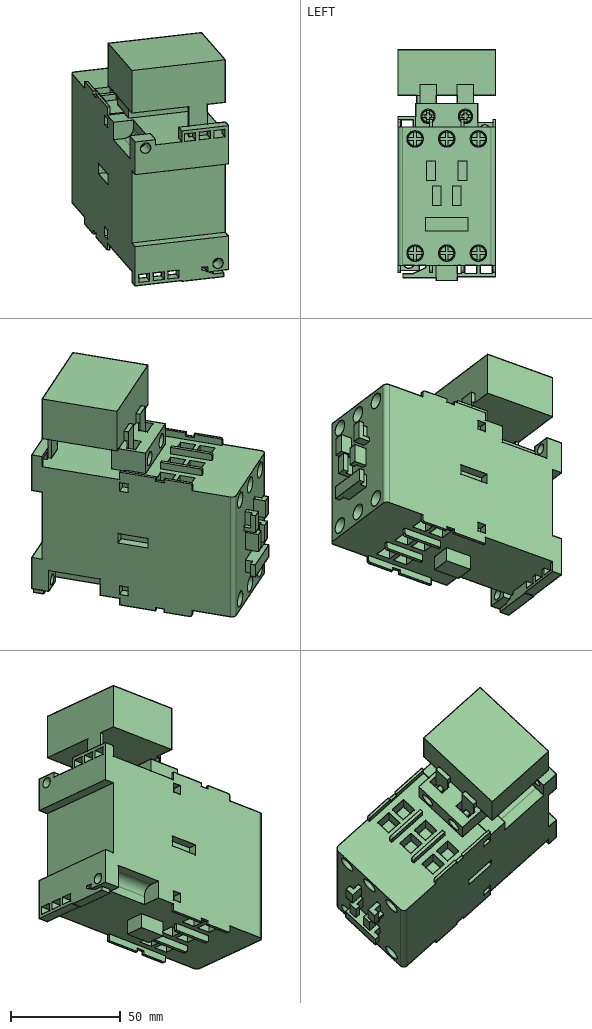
import cadquery as cq


WIDTH = 44.6
HALF_WIDTH = WIDTH / 2
BODY_HEIGHT = 63.0
REAR_HEIGHT = 62.5
REAR_STEP_X = 55.2
BODY_LENGTH = 92.4
BACK_X = 97.36
MID_Z = REAR_HEIGHT / 2
FRONT_EDGE_RADIUS = 2.1

RAIL_BOTTOM_Z = 13.9
RAIL_TOP_Z = 49.1

RIB_START_X = 20.5
RIB_END_X = 40.3
RIB_RISE = 3.4
RIB_THICKNESS = 1.5
RIB_Y = 7.2
RIB_CORNER_RADIUS = 1.2
FLANGE_THICKNESS = 1.3
FLANGE_NOTCH_X = (33.9, 38.0)
FLANGE_NOTCH_DEPTH = 1.7

POLE_PITCH = 14.4
POLES_Y = (-POLE_PITCH, 0, POLE_PITCH)
WELL_SIDE = 7.1
WELL_CENTRES_X = (26.45, 35.75)
WELL_DEPTH = 8.0
CONTACT_SCREW_INSET = 5.5
CONTACT_HOLE_DIAMETER = 7.5
CONTACT_HOLE_DEPTH = 12.0
CONTACT_HEAD_DIAMETER = 6.4
HEAD_THICKNESS = 1.0
CROSS_SLOT_WIDTH = 1.3
CROSS_SLOT_DEPTH = 0.6

SIDE_OPENING_DEPTH = 4.2
CLIP_OPENING_X = (51.1, 55.2)
CLIP_OPENING_Z = (2.1, 6.6)
CENTRE_OPENING_X = (41.7, 56.0)
CENTRE_OPENING_Z = (29.0, 34.0)

LUG_START_X = 89.2
LUG_INNER_Y = 12.5
LUG_RISE = 2.5
LUG_HOLE_DIAMETER = 4.9
LUG_HOLE_Y = 17.3
LUG_HOLE_Z = 61.4
TROUGH_START_X = 64.6
TROUGH_RADIUS = 4.5
TROUGH_AXIS_Z = 58.5

FOOT_RISE = 5.3
FOOT_BAR = 1.6
WINDOW_WIDTH = 5.25
WINDOW_PITCH = 7.0
WINDOW_COUNT = 3
OUTER_WALL = 1.7
HOOK_BOTTOM_Z = -5.7
HOOK_TIP_Y = 20.0
HOOK_TIP_TOP_Z = -3.8
HOOK_RAMP_Y = (15.4, 9.6)
HOOK_RAMP_TOP_Z = -1.1

BLOCK_X = (45.4, 61.75)
BLOCK_HALF_WIDTH = 14.2
BLOCK_TOP_Z = 73.7
COIL_Y = 8.5
COIL_SCREW_Z = 67.8
COIL_HOLE_DIAMETER = 6.5
COIL_HEAD_DIAMETER = 5.4
COIL_SHANK_DIAMETER = 3.0
TAB_POCKET_X = (50.8, 55.1)
COIL_HOLE_DEPTH = TAB_POCKET_X[0] - BLOCK_X[0]
TAB_POCKET_WIDTH = 7.9
TAB_POCKET_FLOOR_Z = 65.0

MODULE_X = (56.4, BODY_LENGTH)
MODULE_Z = (77.3, 98.1)
TAB_FRONT_X = 54.3
TAB_THICKNESS = 0.8
TAB_WIDTH = 7.5
TAB_TOP_Z = 82.2
LEG_THICKNESS = 1.6
LEG_Y = (5.0, 13.7)

UNDER_BLOCK_X = (45.8, 59.0)
UNDER_BLOCK_HALF_WIDTH = 4.8
UNDER_BLOCK_DEPTH = 7.0

OUTER_KNOB_REACH = 5.7
OUTER_KNOB_Y = (5.05, 9.25)
OUTER_KNOB_Z = (38.5, 47.4)
OUTER_NOTCH_REACH = 3.3
OUTER_NOTCH_WIDTH = 2.1
OUTER_KNOB_FOOT = 2.0
INNER_KNOB_REACH = 6.14
INNER_KNOB_Y = (2.55, 6.45)
INNER_KNOB_Z = (27.1, 36.1)
INNER_NOTCH_REACH = 3.7
INNER_NOTCH_WIDTH = 1.7
BAR_REACH = 5.7
BAR_HALF_WIDTH = 9.7
BAR_BASE_HALF_WIDTH = 6.9
BAR_BASE_REACH = 3.3
BAR_Z = (15.5, 21.8)


def box(x, y, z):
    """Box between the (low, high) limits along each axis."""
    size = [limits[1] - limits[0] for limits in (x, y, z)]
    return cq.Workplane("XY").box(*size, centered=False).translate((x[0], y[0], z[0]))


def cylinder_x(diameter, x, y, z):
    """Cylinder along X between the limits x, with its axis at (y, z)."""
    cylinder = cq.Workplane("YZ").center(y, z).circle(diameter / 2).extrude(x[1] - x[0])
    return cylinder.translate((x[0], 0, 0))


def both_sides(shape):
    """The shape together with its mirror image across the middle of the width."""
    return shape.union(shape.mirror("XZ"))


def turned_over(shape):
    """The shape turned half a turn about the lengthwise axis through the middle of the body."""
    return shape.rotate((0, 0, MID_Z), (1, 0, MID_Z), 180)


def make_body():
    outline = [
        (0, 0),
        (BACK_X, 0),
        (BACK_X, RAIL_BOTTOM_Z),
        (BODY_LENGTH, RAIL_BOTTOM_Z),
        (BODY_LENGTH, RAIL_TOP_Z),
        (BACK_X, RAIL_TOP_Z),
        (BACK_X, REAR_HEIGHT),
        (REAR_STEP_X, REAR_HEIGHT),
        (REAR_STEP_X, BODY_HEIGHT),
        (0, BODY_HEIGHT),
    ]
    body = cq.Workplane("XZ").polyline(outline).close().extrude(HALF_WIDTH, both=True)
    return body.edges("|Z and <X").fillet(FRONT_EDGE_RADIUS)


def make_rib(y, thickness, end_x):
    """Upright plate standing proud above and below the body, with rounded front corners."""
    rib = box(
        (RIB_START_X, end_x),
        (y - thickness / 2, y + thickness / 2),
        (-RIB_RISE, BODY_HEIGHT + RIB_RISE),
    )
    return rib.edges("|Y and <X").fillet(RIB_CORNER_RADIUS)


def make_flange():
    """Rib flush with the +Y side, notched along its top and bottom edges."""
    flange = make_rib(HALF_WIDTH - FLANGE_THICKNESS / 2, FLANGE_THICKNESS, REAR_STEP_X)
    top = BODY_HEIGHT + RIB_RISE
    for z in ((top - FLANGE_NOTCH_DEPTH, top), (-RIB_RISE, FLANGE_NOTCH_DEPTH - RIB_RISE)):
        flange = flange.cut(box(FLANGE_NOTCH_X, (0, HALF_WIDTH), z))
    return flange


def make_wire_wells():
    """Square wells above and below the body, two for each pole."""
    wells = cq.Workplane("XY")
    half = WELL_SIDE / 2
    for z in ((BODY_HEIGHT - WELL_DEPTH, BODY_HEIGHT), (0, WELL_DEPTH)):
        for y in POLES_Y:
            for x in WELL_CENTRES_X:
                wells = wells.union(box((x - half, x + half), (y - half, y + half), z))
    return wells


def make_screw_head(diameter, front_x, y, z):
    """Cross-slotted screw head facing the front."""
    head = cylinder_x(diameter, (front_x, front_x + HEAD_THICKNESS), y, z)
    half_slot = CROSS_SLOT_WIDTH / 2
    radius = diameter / 2
    for half_y, half_z in ((half_slot, radius), (radius, half_slot)):
        slot = box(
            (front_x, front_x + CROSS_SLOT_DEPTH),
            (y - half_y, y + half_y),
            (z - half_z, z + half_z),
        )
        head = head.cut(slot)
    return head


def make_screw_recess(hole_diameter, head_diameter, front_x, depth, y, z):
    """Cutter for a round recess that leaves a screw head at its inner end."""
    recess = cylinder_x(hole_diameter, (front_x, front_x + depth), y, z)
    return recess.cut(make_screw_head(head_diameter, front_x + depth - HEAD_THICKNESS, y, z))


def make_contact_recesses():
    recesses = cq.Workplane("XY")
    for z in (CONTACT_SCREW_INSET, BODY_HEIGHT - CONTACT_SCREW_INSET):
        for y in POLES_Y:
            recess = make_screw_recess(
                CONTACT_HOLE_DIAMETER, CONTACT_HEAD_DIAMETER, 0, CONTACT_HOLE_DEPTH, y, z
            )
            recesses = recesses.union(recess)
    return recesses


def make_side_openings():
    """Rectangular pockets in both side walls."""
    y = (HALF_WIDTH - SIDE_OPENING_DEPTH, HALF_WIDTH)
    upper_clip_z = (BODY_HEIGHT - CLIP_OPENING_Z[1], BODY_HEIGHT - CLIP_OPENING_Z[0])
    openings = box(CENTRE_OPENING_X, y, CENTRE_OPENING_Z)
    for z in (CLIP_OPENING_Z, upper_clip_z):
        openings = openings.union(box(CLIP_OPENING_X, y, z))
    return both_sides(openings)


def make_lug():
    """Mounting lug at the top of the -Y side."""
    return box(
        (LUG_START_X, BACK_X),
        (-HALF_WIDTH, -LUG_INNER_Y),
        (REAR_HEIGHT, REAR_HEIGHT + LUG_RISE),
    )


def make_lug_access():
    """Cutter for the round-bottomed trough in front of the lug and the hole through the lug."""
    trough_x = (TROUGH_START_X, LUG_START_X)
    trough_floor = TROUGH_AXIS_Z - TROUGH_RADIUS
    trough = cylinder_x(2 * TROUGH_RADIUS, trough_x, -LUG_HOLE_Y, TROUGH_AXIS_Z)
    trough = trough.union(box(trough_x, (-HALF_WIDTH, -LUG_HOLE_Y), (trough_floor, REAR_HEIGHT)))
    inner_y = (-LUG_HOLE_Y, TROUGH_RADIUS - LUG_HOLE_Y)
    trough = trough.union(box(trough_x, inner_y, (TROUGH_AXIS_Z, REAR_HEIGHT)))
    return trough.union(cylinder_x(LUG_HOLE_DIAMETER, (LUG_START_X, BACK_X), -LUG_HOLE_Y, LUG_HOLE_Z))


def make_foot():
    """Windowed foot at the top of the back, on the +Y half."""
    top = REAR_HEIGHT + FOOT_RISE
    foot = box((BODY_LENGTH, BACK_X), (0, HALF_WIDTH), (REAR_HEIGHT, top))
    for i in range(WINDOW_COUNT):
        outer_y = HALF_WIDTH - OUTER_WALL - i * WINDOW_PITCH
        window = box((BODY_LENGTH, BACK_X), (outer_y - WINDOW_WIDTH, outer_y), (REAR_HEIGHT, top - FOOT_BAR))
        foot = foot.cut(window)
    return foot


def make_hook():
    """Rail hook under the back of the body, with a ramped arm towards +Y."""
    outline = [
        (0, 0),
        (0, HOOK_BOTTOM_Z),
        (HOOK_TIP_Y, HOOK_BOTTOM_Z),
        (HOOK_TIP_Y, HOOK_TIP_TOP_Z),
        (HOOK_RAMP_Y[0], HOOK_TIP_TOP_Z),
        (HOOK_RAMP_Y[1], HOOK_RAMP_TOP_Z),
        (HOOK_RAMP_Y[1], 0),
    ]
    hook = cq.Workplane("YZ").polyline(outline).close().extrude(BACK_X - BODY_LENGTH)
    return hook.translate((BODY_LENGTH, 0, 0))


def make_terminal_block():
    """Coil terminal block with two screws and the pockets for the module tabs."""
    block = box(BLOCK_X, (-BLOCK_HALF_WIDTH, BLOCK_HALF_WIDTH), (REAR_HEIGHT, BLOCK_TOP_Z))
    for y in (-COIL_Y, COIL_Y):
        pocket_y = (y - TAB_POCKET_WIDTH / 2, y + TAB_POCKET_WIDTH / 2)
        pocket = box(TAB_POCKET_X, pocket_y, (TAB_POCKET_FLOOR_Z, BLOCK_TOP_Z))
        recess = make_screw_recess(
            COIL_HOLE_DIAMETER, COIL_HEAD_DIAMETER, BLOCK_X[0], COIL_HOLE_DEPTH, y, COIL_SCREW_Z
        )
        shank = cylinder_x(COIL_SHANK_DIAMETER, TAB_POCKET_X, y, COIL_SCREW_Z)
        block = block.cut(pocket).cut(recess).union(shank)
    return block


def make_module():
    """Suppressor module, held by two tabs in the terminal block and one leg at the back."""
    module = box(MODULE_X, (-HALF_WIDTH, HALF_WIDTH), MODULE_Z)
    for y in (-COIL_Y, COIL_Y):
        tab_y = (y - TAB_WIDTH / 2, y + TAB_WIDTH / 2)
        blade_x = (TAB_FRONT_X, TAB_FRONT_X + TAB_THICKNESS)
        module = module.union(box(blade_x, tab_y, (TAB_POCKET_FLOOR_Z, TAB_TOP_Z)))
        module = module.union(box((TAB_FRONT_X, MODULE_X[0]), tab_y, (MODULE_Z[0], TAB_TOP_Z)))
    leg = box((BODY_LENGTH - LEG_THICKNESS, BODY_LENGTH), LEG_Y, (REAR_HEIGHT, MODULE_Z[0]))
    return module.union(leg)


def make_under_block():
    return box(
        UNDER_BLOCK_X,
        (-UNDER_BLOCK_HALF_WIDTH, UNDER_BLOCK_HALF_WIDTH),
        (-UNDER_BLOCK_DEPTH, 0),
    )


def make_front_controls():
    """Two outer knobs, two inner knobs and the cross bar on the front face."""
    outer_knob = box((-OUTER_KNOB_REACH, 0), OUTER_KNOB_Y, OUTER_KNOB_Z)
    outer_notch = box(
        (-OUTER_NOTCH_REACH, 0),
        (OUTER_KNOB_Y[1] - OUTER_NOTCH_WIDTH, OUTER_KNOB_Y[1]),
        (OUTER_KNOB_Z[0] + OUTER_KNOB_FOOT, OUTER_KNOB_Z[1]),
    )
    inner_knob = box((-INNER_KNOB_REACH, 0), INNER_KNOB_Y, INNER_KNOB_Z)
    inner_notch = box(
        (-INNER_NOTCH_REACH, 0),
        (INNER_KNOB_Y[0], INNER_KNOB_Y[0] + INNER_NOTCH_WIDTH),
        INNER_KNOB_Z,
    )
    knobs = both_sides(outer_knob.cut(outer_notch).union(inner_knob.cut(inner_notch)))
    bar = box((-BAR_REACH, -BAR_BASE_REACH), (-BAR_HALF_WIDTH, BAR_HALF_WIDTH), BAR_Z)
    bar_base = box((-BAR_BASE_REACH, 0), (-BAR_BASE_HALF_WIDTH, BAR_BASE_HALF_WIDTH), BAR_Z)
    return knobs.union(bar).union(bar_base)


result = make_body().cut(make_wire_wells()).cut(make_contact_recesses())
result = result.union(both_sides(make_rib(RIB_Y, RIB_THICKNESS, RIB_END_X)))
result = result.union(both_sides(make_flange()))
result = result.cut(make_side_openings())

lug = make_lug()
foot = make_foot()
result = result.union(lug).union(turned_over(lug))
result = result.union(foot).union(turned_over(foot))
result = result.union(make_hook())

lug_access = make_lug_access()
result = result.cut(lug_access).cut(turned_over(lug_access))

result = result.union(make_terminal_block()).union(make_module())
result = result.union(make_under_block()).union(make_front_controls())